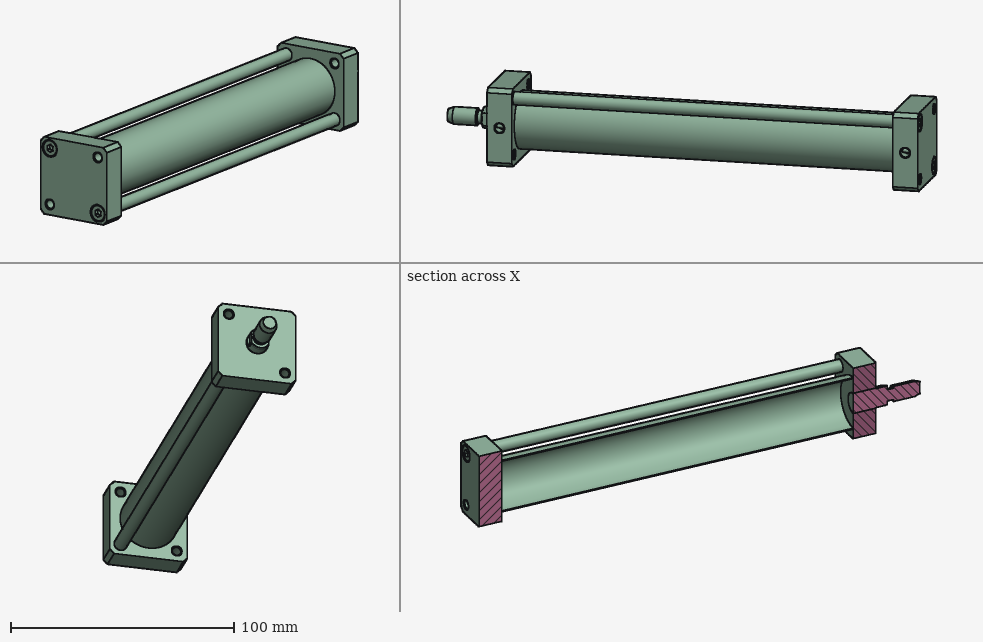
import cadquery as cq
import math

overall_length = 221.0
rod_projection = 22.0
cap_thickness = 11.5

rear_face = -overall_length / 2
rear_inner = rear_face + cap_thickness
rod_tip = overall_length / 2
front_face = rod_tip - rod_projection
front_inner = front_face - cap_thickness

cap_size = 36.0
cap_corner_chamfer = 2.0

tube_diameter = 26.5
bore_diameter = 25.0

corner_offset = 13.0
tie_places = [(-corner_offset, corner_offset), (corner_offset, -corner_offset)]
mount_places = [(corner_offset, corner_offset), (-corner_offset, -corner_offset)]

mount_hole_diameter = 4.0
mount_mouth_diameter = 4.9

shank_diameter = 6.0
head_diameter = 7.0
counterbore_diameter = 8.0
counterbore_depth = 4.0
head_recess = 0.2
socket_across_flats = 3.0
socket_depth = 2.0
socket_cone_depth = 0.9
shank_engagement = cap_thickness / 2
head_face = rear_face + head_recess
head_seat = rear_face + counterbore_depth
shank_end = front_inner + shank_engagement

port_diameter = 4.2
port_mouth_diameter = 4.9
port_depth = 6.6
port_tip_angle = 118.0
port_bar_diameter = 2.0
port_bar_depth = 4.5

rod_diameter = 10.0
rod_chamfer_length = 1.0
rod_chamfer_height = 0.2
wrench_flats = 8.0
flat_length = 3.5
flat_runout = 0.7
neck_diameter = 6.0
neck_length = 3.0
neck_flare_length = 0.7
neck_flare_height = 0.2
thread_diameter = 8.0
thread_length = 10.5
tip_diameter = 6.0
tip_length = 2.7

along_x = cq.Vector(1, 0, 0)
along_y = cq.Vector(0, 1, 0)


def cylinder(diameter, y_start, y_end, x=0, z=0):
    """Solid cylinder parallel to Y."""
    base = cq.Vector(x, y_start, z)
    return cq.Workplane(cq.Solid.makeCylinder(diameter / 2, y_end - y_start, base, along_y))


def cone(base_diameter, end_diameter, length, base, direction):
    """Solid cone or frustum from its base centre along a direction."""
    return cq.Workplane(cq.Solid.makeCone(base_diameter / 2, end_diameter / 2, length, base, direction))


def mount_hole(y_start, y_end, x, z):
    """Cutter for a mounting hole through a cap, with a chamfer at each mouth."""
    chamfer = (mount_mouth_diameter - mount_hole_diameter) / 2
    cutter = cylinder(mount_hole_diameter, y_start, y_end, x, z)
    for y, direction in ((y_start, along_y), (y_end, -along_y)):
        mouth = cone(mount_mouth_diameter, mount_hole_diameter, chamfer, cq.Vector(x, y, z), direction)
        cutter = cutter.union(mouth)
    return cutter


def port(y):
    """Cutter for a drilled blind port from the -X side that leaves a bar across it."""
    mouth_centre = cq.Vector(-cap_size / 2, y, 0)
    bottom_centre = mouth_centre + along_x * port_depth
    chamfer = (port_mouth_diameter - port_diameter) / 2
    drill_tip = port_diameter / 2 / math.tan(math.radians(port_tip_angle / 2))
    bore = cq.Workplane(cq.Solid.makeCylinder(port_diameter / 2, port_depth, mouth_centre, along_x))
    mouth = cone(port_mouth_diameter, port_diameter, chamfer, mouth_centre, along_x)
    tip = cone(port_diameter, 0, drill_tip, bottom_centre, along_x)
    bar_x = -cap_size / 2 + port_bar_depth
    bar = cylinder(port_bar_diameter, y - port_mouth_diameter, y + port_mouth_diameter, bar_x)
    return bore.union(mouth).union(tip).cut(bar)


def make_cap(y_start):
    """Square cap with chamfered corners, two mounting holes and a side port."""
    y_end = y_start + cap_thickness
    y_middle = (y_start + y_end) / 2
    cap = cq.Workplane("XY").box(cap_size, cap_thickness, cap_size)
    cap = cap.edges("|Y").chamfer(cap_corner_chamfer).translate((0, y_middle, 0))
    for x, z in mount_places:
        cap = cap.cut(mount_hole(y_start, y_end, x, z))
    return cap.cut(port(y_middle))


def make_rear_cap():
    """Cap with a counterbored hole for each tie bolt."""
    cap = make_cap(rear_face)
    for x, z in tie_places:
        cap = cap.cut(cylinder(shank_diameter, rear_face, rear_inner, x, z))
        cap = cap.cut(cylinder(counterbore_diameter, rear_face, head_seat, x, z))
    return cap


def make_front_cap():
    """Cap with the rod hole and a blind hole for the end of each tie bolt."""
    cap = make_cap(front_inner).cut(cylinder(rod_diameter, front_inner, front_face))
    for x, z in tie_places:
        cap = cap.cut(cylinder(shank_diameter, front_inner, shank_end, x, z))
    return cap


def make_tube():
    """Plain round tube between the caps."""
    return cylinder(tube_diameter, rear_inner, front_inner).cut(
        cylinder(bore_diameter, rear_inner, front_inner))


def make_tie_bolt(x, z):
    """Long bolt with a round head and a hexagon socket that ends in a cone."""
    bolt = cylinder(head_diameter, head_face, head_seat, x, z)
    bolt = bolt.union(cylinder(shank_diameter, head_seat, shank_end, x, z))
    across_corners = socket_across_flats / math.cos(math.pi / 6)
    socket = cq.Workplane("XZ").polygon(6, across_corners).extrude(-socket_depth)
    socket = socket.rotate((0, 0, 0), (0, 1, 0), 30).translate((x, head_face, z))
    socket_bottom = cq.Vector(x, head_face + socket_depth, z)
    return bolt.cut(socket).cut(cone(socket_across_flats, 0, socket_cone_depth, socket_bottom, along_y))


def make_rod():
    """Rod through the front cap, with wrench flats, a neck and a threaded end."""
    rod_radius = rod_diameter / 2
    neck_radius = neck_diameter / 2
    flare_radius = neck_radius + neck_flare_height
    thread_radius = thread_diameter / 2
    thread_end = rod_tip - tip_length
    thread_start = thread_end - thread_length
    shoulder = thread_start - neck_length
    half_profile = [
        (0, front_inner),
        (rod_radius, front_inner),
        (rod_radius, shoulder - rod_chamfer_length),
        (rod_radius - rod_chamfer_height, shoulder),
        (flare_radius, shoulder),
        (neck_radius, shoulder + neck_flare_length),
        (neck_radius, thread_start - neck_flare_length),
        (flare_radius, thread_start),
        (thread_radius, thread_start),
        (thread_radius, thread_end),
        (tip_diameter / 2, rod_tip),
        (0, rod_tip),
    ]
    rod = cq.Workplane("XY").polyline(half_profile).close().revolve(360, (0, 0, 0), (0, 1, 0))
    flat_end = shoulder - flat_length
    for side in (1, -1):
        flat_x = side * wrench_flats / 2
        outer_x = side * rod_radius
        flat = [(flat_x, shoulder), (flat_x, flat_end), (outer_x, flat_end - flat_runout), (outer_x, shoulder)]
        rod = rod.cut(cq.Workplane("XY").polyline(flat).close().extrude(rod_radius, both=True))
    return rod


rear_cap = make_rear_cap()
front_cap = make_front_cap()
tube = make_tube()
rod = make_rod()
tie_bolts = [make_tie_bolt(x, z) for x, z in tie_places]

result = cq.Compound.makeCompound(
    [rear_cap.val(), front_cap.val(), tube.val(), rod.val(), *[bolt.val() for bolt in tie_bolts]])